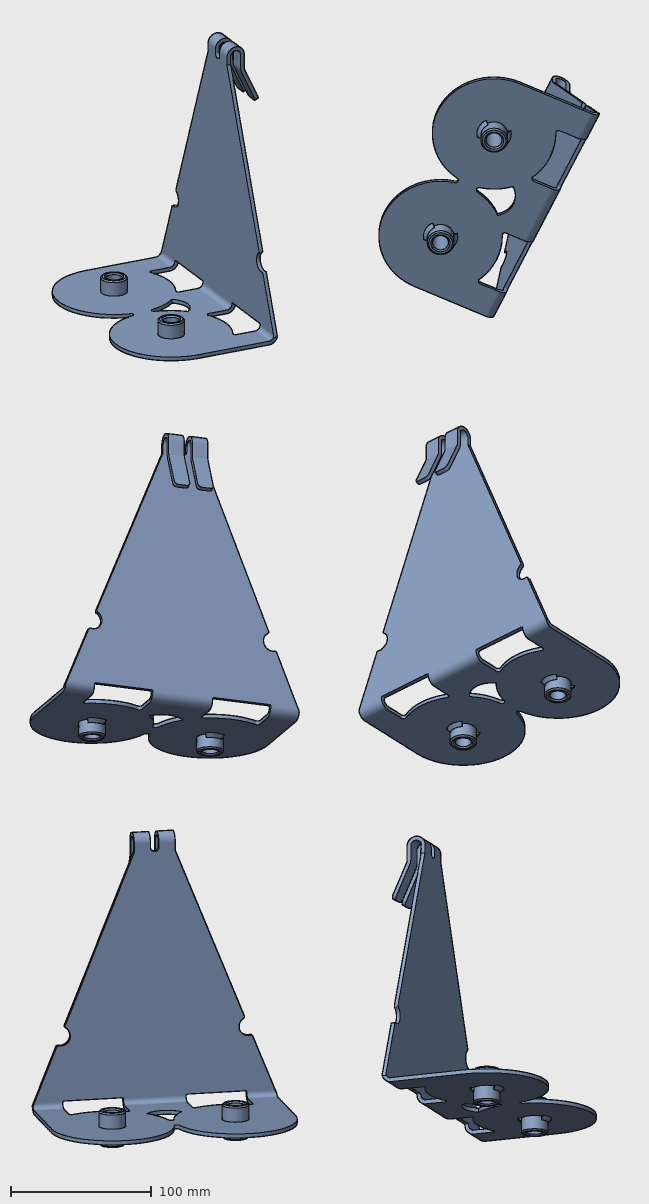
import cadquery as cq
import math

overall_width = 178.0
overall_depth = 129.5
overall_height = 211.0

sheet = 3.0
bend_outer_radius = 7.0
bend_radius = bend_outer_radius - sheet / 2

bushing_diameter = 19.0
bushing_bore = 11.4
bushing_length = 25.1
bushing_drop = 10.8
bushing_chamfer = 1.0
bushing_hole = 19.2

bead_leg = 2.7
bead_angle = 75.0

lobe_spacing = 90.0
lobe_x = lobe_spacing / 2
lobe_radius = (overall_width - lobe_spacing) / 2
lobe_y = -62.7
neck_radius = 2.0

window_width = 44.3
window_height = 7.8
window_corner = 2.0
window_top_corner = 1.0

opening_half_width = 12.7
opening_rise = 6.3

upright_top = overall_height - bushing_drop
taper_drop = 12.9
taper_top = upright_top - taper_drop
taper_bottom = 5.0
side_notch_radius = 7.0
side_notch_z = 55.3
side_notch_corner = 1.5

hook_width = 30.0
hook_slot_width = 6.1
hook_slot_depth = 13.0
hook_drop = 10.3
hook_flare = math.radians(25)
hook_corner = 3.0
base_front = lobe_y - lobe_radius
hook_reach = overall_depth + base_front

lobe_centers = [(-lobe_x, lobe_y), (lobe_x, lobe_y)]

neck_center = math.sqrt((lobe_radius + neck_radius) ** 2 - lobe_x ** 2)
neck_tip = neck_center - neck_radius
contact_ratio = lobe_radius / (lobe_radius + neck_radius)
contact_x = lobe_x * (1 - contact_ratio)
contact_offset = neck_center * contact_ratio


def lobe_edge(x_from_center):
    """Distance from the lobe line to the lobe's round edge."""
    return math.sqrt(lobe_radius ** 2 - x_from_center ** 2)


def folded_sheet():
    """Full-width strip: base, upright, hook and flared tip."""
    mid_base = sheet / 2
    mid_upright = -sheet / 2
    mid_hook = mid_upright + 2 * bend_radius
    diagonal = bend_radius * math.sqrt(0.5)
    top_bend_z = upright_top - bend_outer_radius
    drop_z = top_bend_z - hook_drop

    def flare_point(angle):
        y = mid_hook + bend_radius * (1 - math.cos(angle))
        return y, drop_z - bend_radius * math.sin(angle)

    flare_y, flare_z = flare_point(hook_flare)
    tip_y = hook_reach - sheet / 2 * math.cos(hook_flare)
    tip_z = flare_z - (tip_y - flare_y) / math.tan(hook_flare)
    path = (
        cq.Workplane("YZ")
        .moveTo(base_front, mid_base)
        .lineTo(-bend_outer_radius, mid_base)
        .threePointArc(
            (-bend_outer_radius + diagonal, bend_outer_radius - diagonal),
            (mid_upright, bend_outer_radius),
        )
        .lineTo(mid_upright, top_bend_z)
        .threePointArc((mid_upright + bend_radius, top_bend_z + bend_radius), (mid_hook, top_bend_z))
        .lineTo(mid_hook, drop_z)
        .threePointArc(flare_point(hook_flare / 2), (flare_y, flare_z))
        .lineTo(tip_y, tip_z)
    )
    return (
        cq.Workplane("XZ", origin=(0, base_front, mid_base))
        .rect(overall_width, sheet)
        .sweep(path)
    )


def plan_outline():
    """Outline seen from above: lobed base with the hook behind it."""
    half_width = overall_width / 2
    base = (
        cq.Workplane("XY")
        .moveTo(-half_width, 0)
        .lineTo(-half_width, lobe_y)
        .threePointArc((-lobe_x, base_front), (-contact_x, lobe_y - contact_offset))
        .threePointArc((0, lobe_y - neck_tip), (contact_x, lobe_y - contact_offset))
        .threePointArc((lobe_x, base_front), (half_width, lobe_y))
        .lineTo(half_width, 0)
        .close()
        .extrude(overall_height)
    )
    tab_width = (hook_width - hook_slot_width) / 2
    tab_x = (hook_width + hook_slot_width) / 4
    tabs = (
        cq.Workplane("XY")
        .pushPoints([(-tab_x, hook_reach / 2), (tab_x, hook_reach / 2)])
        .rect(tab_width, hook_reach)
        .extrude(overall_height)
    )
    return base.union(tabs)


def front_outline():
    """Outline seen from the front: tapered upright with notched edges."""
    half_width = overall_width / 2
    half_hook = hook_width / 2
    notch_share = (side_notch_z - taper_bottom) / (taper_top - taper_bottom)
    notch_x = half_width + (half_hook - half_width) * notch_share
    depth = 2 * overall_depth
    outline = (
        cq.Workplane("XZ")
        .polyline([
            (-half_width, 0),
            (-half_width, taper_bottom),
            (-half_hook, taper_top),
            (-half_hook, upright_top),
            (half_hook, upright_top),
            (half_hook, taper_top),
            (half_width, taper_bottom),
            (half_width, 0),
        ])
        .close()
        .extrude(depth, both=True)
    )
    notches = (
        cq.Workplane("XZ")
        .pushPoints([(-notch_x, side_notch_z), (notch_x, side_notch_z)])
        .circle(side_notch_radius)
        .extrude(depth, both=True)
    )
    reach = side_notch_radius + side_notch_corner
    notch_zone = cq.selectors.BoxSelector(
        (-overall_width, -depth, side_notch_z - reach),
        (overall_width, depth, side_notch_z + reach),
    )
    return outline.cut(notches).edges("|Y").edges(notch_zone).fillet(side_notch_corner)


def hook_slot():
    """Round-bottomed slot that splits the top of the upright."""
    radius = hook_slot_width / 2
    bottom = upright_top - hook_slot_depth
    return (
        cq.Workplane("XZ")
        .moveTo(-radius, upright_top)
        .lineTo(-radius, bottom + radius)
        .threePointArc((0, bottom), (radius, bottom + radius))
        .lineTo(radius, upright_top)
        .close()
        .extrude(bend_outer_radius, both=True)
    )


def lobe_window(x):
    """Cut behind a lobe, following its edge and running up through the bend."""
    half = window_width / 2
    corner_y = lobe_y + lobe_edge(half)
    return (
        cq.Workplane("XY")
        .moveTo(x - half, bend_outer_radius)
        .lineTo(x - half, corner_y)
        .threePointArc((x, lobe_y + lobe_radius), (x + half, corner_y))
        .lineTo(x + half, bend_outer_radius)
        .close()
        .extrude(window_height)
        .edges("|Z and <Y")
        .fillet(window_corner)
        .edges("|Y and >Z")
        .fillet(window_top_corner)
    )


def center_opening():
    """Opening bounded by both lobes, a rounded rear edge and the neck."""
    corner_y = lobe_y + lobe_edge(lobe_x - opening_half_width)
    contact_y = lobe_y + contact_offset
    side_x = (opening_half_width + contact_x) / 2
    side_y = lobe_y + lobe_edge(lobe_x - side_x)
    return (
        cq.Workplane("XY")
        .moveTo(-opening_half_width, corner_y)
        .threePointArc((0, corner_y + opening_rise), (opening_half_width, corner_y))
        .threePointArc((side_x, side_y), (contact_x, contact_y))
        .threePointArc((0, lobe_y + neck_tip), (-contact_x, contact_y))
        .threePointArc((-side_x, side_y), (-opening_half_width, corner_y))
        .close()
        .extrude(sheet)
    )


def make_bracket():
    bracket = folded_sheet().intersect(plan_outline()).intersect(front_outline())
    bracket = bracket.cut(hook_slot()).cut(center_opening())
    tip_normal = cq.Vector(0, math.cos(hook_flare), math.sin(hook_flare))
    bracket = bracket.edges(cq.selectors.ParallelDirSelector(tip_normal)).fillet(hook_corner)
    for x, y in lobe_centers:
        bracket = bracket.cut(lobe_window(x))
        hole = cq.Workplane("XY").center(x, y).circle(bushing_hole / 2).extrude(sheet)
        bracket = bracket.cut(hole)
    return bracket.solids()


def make_bushing(x, y):
    return (
        cq.Workplane("XY", origin=(x, y, -bushing_drop))
        .circle(bushing_diameter / 2)
        .circle(bushing_bore / 2)
        .extrude(bushing_length)
        .edges("%CIRCLE")
        .chamfer(bushing_chamfer)
    )


def make_bead(x, y, facing):
    """Triangular fillet weld under the base, centred on the direction `facing` (degrees)."""
    radius = bushing_diameter / 2
    return (
        cq.Workplane("XZ")
        .polyline([(radius, 0), (radius + bead_leg, 0), (radius, -bead_leg)])
        .close()
        .revolve(bead_angle, (0, 0, 0), (0, 1, 0))
        .rotate((0, 0, 0), (0, 0, 1), facing - bead_angle / 2)
        .translate((x, y, 0))
    )


bracket = make_bracket()
bushings = [make_bushing(x, y) for x, y in lobe_centers]
beads = [make_bead(x, y, facing) for x, y in lobe_centers for facing in (-90, 90)]

result = cq.Compound.makeCompound([body.val() for body in [bracket, *bushings, *beads]])